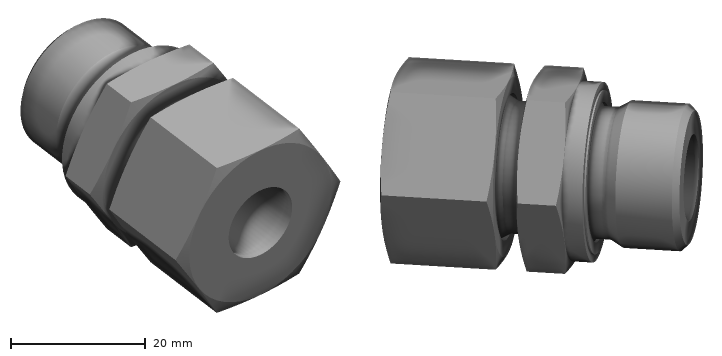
import cadquery as cq
import math


stud_tip_x = 0.0
stud_thread_end_x = 9.5
ring_front_x = 13.75
neck_end_x = 13.95
collar_face_x = 14.0
ring_seat_x = 15.15
hex_front_x = 17.05
hex_rear_x = 24.0
rear_cone_x = 26.65
nut_front_x = 27.5
housing_rear_x = 38.25
nut_rear_x = 44.5

across_flats = 27.0
thread_radius = 11.0
neck_radius = 9.9
collar_radius = 13.45
ring_outer_radius = 12.25
ring_inner_radius = 10.45
bore_radius = 6.0
bore_chamfer = 0.5
tip_chamfer = 1.0
stud_neck_fillet = 1.0
hex_neck_fillet = 0.5
runout_angle = math.radians(30)
shoulder_angle = math.radians(60)
bevel_angle = math.radians(15)
pick_margin = 0.05

runout_length = (thread_radius - neck_radius) / math.tan(runout_angle)
shoulder_length = (ring_inner_radius - neck_radius) / math.tan(shoulder_angle)
corner_radius = across_flats / 2 / math.cos(math.pi / 6)
bevel_length = (corner_radius - collar_radius) * math.tan(bevel_angle)


def revolve_about_x(outline):
    """Revolve a closed (x, radius) outline about the X axis."""
    return cq.Workplane("XY").polyline(outline).close().revolve(360, (0, 0), (1, 0))


def cylinder(start_x, end_x, radius):
    """Round bar on the X axis between two positions."""
    return cq.Workplane("YZ", origin=(start_x, 0, 0)).circle(radius).extrude(end_x - start_x)


def bevelled_hexagon(start_x, end_x):
    """Hexagonal bar with flats on top and bottom and both ends bevelled at the corners."""
    bar = (
        cq.Workplane("YZ", origin=(start_x, 0, 0))
        .polygon(6, 2 * corner_radius)
        .extrude(end_x - start_x)
    )
    envelope = revolve_about_x([
        (start_x, 0),
        (start_x, collar_radius),
        (start_x + bevel_length, corner_radius),
        (end_x - bevel_length, corner_radius),
        (end_x, collar_radius),
        (end_x, 0),
    ])
    return bar.intersect(envelope)


def make_stud():
    """Threaded stud with its tip chamfer, runout cone, neck and the shoulder inside the ring."""
    cone_end_x = stud_thread_end_x + runout_length
    stud = revolve_about_x([
        (stud_tip_x, 0),
        (stud_tip_x, thread_radius - tip_chamfer),
        (stud_tip_x + tip_chamfer, thread_radius),
        (stud_thread_end_x, thread_radius),
        (cone_end_x, neck_radius),
        (neck_end_x, neck_radius),
        (neck_end_x + shoulder_length, ring_inner_radius),
        (hex_front_x, ring_inner_radius),
        (hex_front_x, 0),
    ])
    runout_edge = cq.selectors.BoxSelector(
        (cone_end_x - pick_margin, -thread_radius, -thread_radius),
        (cone_end_x + pick_margin, thread_radius, thread_radius),
        boundingbox=True,
    )
    return stud.edges(runout_edge).fillet(stud_neck_fillet)


def make_rear_end():
    """Neck behind the hexagon, flaring to the threaded end inside the nut."""
    fillet_end_x = hex_rear_x + hex_neck_fillet
    fillet_middle = hex_neck_fillet * (1 - math.sqrt(0.5))
    return (
        cq.Workplane("XY")
        .moveTo(hex_rear_x, 0)
        .lineTo(hex_rear_x, neck_radius + hex_neck_fillet)
        .threePointArc(
            (hex_rear_x + fillet_middle, neck_radius + fillet_middle),
            (fillet_end_x, neck_radius),
        )
        .lineTo(rear_cone_x, neck_radius)
        .lineTo(rear_cone_x + runout_length, thread_radius)
        .lineTo(housing_rear_x, thread_radius)
        .lineTo(housing_rear_x, 0)
        .close()
        .revolve(360, (0, 0), (1, 0))
    )


def make_bore():
    """Flow bore of the housing with its chamfered mouth at the stud tip."""
    return revolve_about_x([
        (stud_tip_x, 0),
        (stud_tip_x, bore_radius + bore_chamfer),
        (stud_tip_x + bore_chamfer, bore_radius),
        (housing_rear_x, bore_radius),
        (housing_rear_x, 0),
    ])


def make_sealing_ring():
    """Flat ring around the shoulder, standing slightly proud of the collar."""
    outer = cylinder(ring_front_x, ring_seat_x, ring_outer_radius)
    return outer.cut(cylinder(ring_front_x, ring_seat_x, ring_inner_radius))


def make_housing():
    """Stud, collar, hexagon and rear end in one piece, with the ring's recess."""
    ring_recess = cylinder(collar_face_x, ring_seat_x, ring_outer_radius)
    collar = cylinder(collar_face_x, hex_front_x, collar_radius).cut(ring_recess)
    return (
        make_stud()
        .union(collar)
        .union(bevelled_hexagon(hex_front_x, hex_rear_x))
        .union(make_rear_end())
        .cut(make_bore())
    )


def make_nut():
    """Union nut with a socket for the housing's rear end and a tube hole."""
    socket = cylinder(nut_front_x, housing_rear_x, thread_radius)
    tube_hole = cylinder(housing_rear_x, nut_rear_x, bore_radius)
    return bevelled_hexagon(nut_front_x, nut_rear_x).cut(socket).cut(tube_hole)


housing = make_housing()
sealing_ring = make_sealing_ring()
nut = make_nut()

result = cq.Compound.makeCompound([housing.val(), sealing_ring.val(), nut.val()])